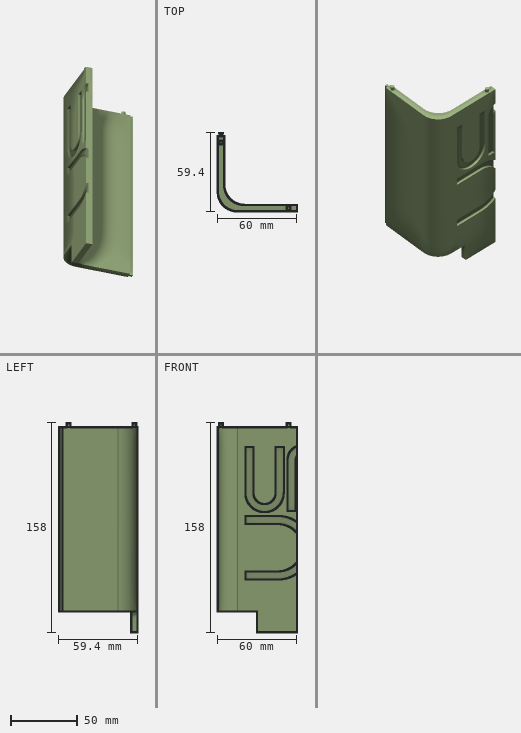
import cadquery as cq

length_x = 60.0
total_height = 158.0

leg_y = 56.9
wall = 5.0
outer_radius = 15.0
inner_radius = 15.0

pin_diameter = 3.0
pin_height = 3.0
pin_inset_x = 6.5
pin_inset_y = 4.7

tab_height = 15.6
tab_width = 30.3

rail_length = 2.5
rail_neck = 1.5
rail_tip = 2.7

engrave_depth = 2.0
stroke = 6.2
letter_left = 20.9

u_top = 139.8
u_radius = 14.5
u_center_z = 105.2

n_left = 52.8
n_bottom = 91.6
n_radius = 11.0
n_center_z = 130.2

d_radius = 24.0
d_center_x = 45.8
d_center_z = 63.8

wall_bottom = tab_height
wall_top = total_height - pin_height
wall_height = wall_top - wall_bottom
wall_middle = wall / 2


def block(x_min, x_max, y_min, y_max, z_min, z_max):
    """Box given by its limits along each axis."""
    return cq.Workplane("XY").box(
        x_max - x_min, y_max - y_min, z_max - z_min, centered=False
    ).translate((x_min, y_min, z_min))


def make_wall():
    """L-shaped wall with a rounded corner at the origin."""
    outer = block(0, length_x, 0, leg_y, wall_bottom, wall_top)
    outer = outer.edges("|Z and <X and <Y").fillet(outer_radius)
    inner = block(wall, length_x + wall, wall, leg_y + wall, wall_bottom, wall_top)
    inner = inner.edges("|Z and <X and <Y").fillet(inner_radius)
    return outer.cut(inner)


def make_tab():
    """Flat tab that extends the free half of the X leg downward."""
    return block(length_x - tab_width, length_x, 0, wall, 0, wall_bottom)


def make_rail():
    """Full-height dovetail rail, wider at its tip than at its neck."""
    tip_y = leg_y + rail_length
    return (
        cq.Workplane("XY", origin=(wall_middle, 0, wall_bottom))
        .moveTo(-rail_neck / 2, leg_y)
        .lineTo(-rail_tip / 2, tip_y)
        .lineTo(rail_tip / 2, tip_y)
        .lineTo(rail_neck / 2, leg_y)
        .close()
        .extrude(wall_height)
    )


def make_pins():
    """One locating pin near the free end of each leg."""
    centers = [
        (length_x - pin_inset_x, wall_middle),
        (wall_middle, leg_y - pin_inset_y),
    ]
    return (
        cq.Workplane("XY", origin=(0, 0, wall_top))
        .pushPoints(centers)
        .circle(pin_diameter / 2)
        .extrude(pin_height)
    )


def arch_cutter(center_x, center_z, radius, leg, turn):
    """Arch-shaped stroke: a half ring with two straight legs.

    The legs point down before the arch is turned counterclockwise by
    `turn` degrees about its center, as seen from the front.
    """
    inner = radius - stroke
    return (
        cq.Workplane("XZ")
        .moveTo(-radius, -leg)
        .lineTo(-radius, 0)
        .threePointArc((0, radius), (radius, 0))
        .lineTo(radius, -leg)
        .lineTo(inner, -leg)
        .lineTo(inner, 0)
        .threePointArc((0, inner), (-inner, 0))
        .lineTo(-inner, -leg)
        .close()
        .extrude(-engrave_depth)
        .rotate((0, 0, 0), (0, -1, 0), turn)
        .translate((center_x, 0, center_z))
    )


letters = [
    arch_cutter(letter_left + u_radius, u_center_z, u_radius, u_top - u_center_z, 180),
    arch_cutter(n_left + n_radius, n_center_z, n_radius, n_center_z - n_bottom, 0),
    arch_cutter(d_center_x, d_center_z, d_radius, d_center_x - letter_left, -90),
]

result = make_wall().union(make_tab()).union(make_rail()).union(make_pins())
for letter in letters:
    result = result.cut(letter)